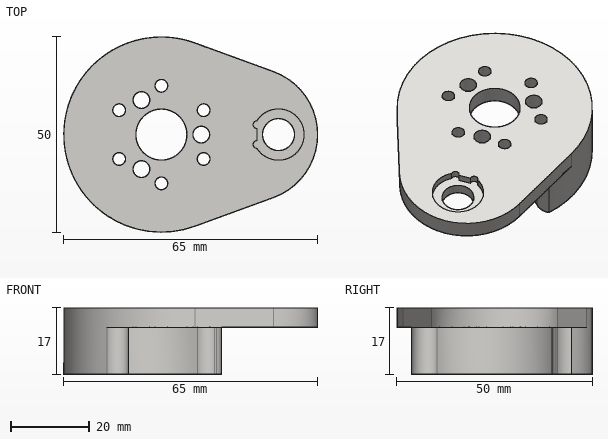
import cadquery as cq
import math

length = 65.0
width = 50.0
height = 17.0
plate_thickness = 5.0

main_radius = width / 2
nose_radius = 17.15
nose_x = length - main_radius - nose_radius

wall_thickness = 7.15
wall_inner_radius = main_radius - wall_thickness
wall_end_radius = wall_thickness / 2
wall_middle_radius = main_radius - wall_end_radius
round_end_angle = 236.0
blunt_end_angle = 58.6
blunt_face_angle = 44.1
blunt_flat_length = 0.6
blunt_edge_angle = 52.0

bore_diameter = 13.0
screw_diameter = 3.2
screw_circle_radius = 12.5
screw_count = 6
screw_start_angle = 30
pin_diameter = 4.2
pin_circle_radius = 10.2
pin_count = 3

pivot_x = 29.95
pivot_diameter = 8.1
recess_diameter = 13.1
recess_depth = 2.0
recess_flat_offset = 5.5
notch_radius = 1.0
notch_offset = 2.55


def polar(radius, angle, center=(0, 0)):
    """Point at the given radius and angle in degrees around a centre."""
    turn = math.radians(angle)
    return (center[0] + radius * math.cos(turn), center[1] + radius * math.sin(turn))


def make_plate():
    tangent_angle = math.degrees(math.acos((main_radius - nose_radius) / nose_x))
    nose = (nose_x, 0)
    return (
        cq.Workplane("XY")
        .workplane(offset=height - plate_thickness)
        .moveTo(*polar(main_radius, tangent_angle))
        .threePointArc((-main_radius, 0), polar(main_radius, -tangent_angle))
        .lineTo(*polar(nose_radius, -tangent_angle, nose))
        .threePointArc((nose_x + nose_radius, 0), polar(nose_radius, tangent_angle, nose))
        .close()
        .extrude(plate_thickness)
    )


def make_wall():
    middle_angle = (round_end_angle + blunt_end_angle) / 2
    round_center = polar(wall_middle_radius, round_end_angle)
    blunt_center = polar(wall_middle_radius, blunt_end_angle)
    flat_start = polar(wall_end_radius, blunt_face_angle - 90, blunt_center)
    flat_end = polar(blunt_flat_length, blunt_face_angle, flat_start)
    corner_middle_angle = (blunt_end_angle - 180 + blunt_face_angle - 90) / 2
    return (
        cq.Workplane("XY")
        .moveTo(*polar(main_radius, blunt_edge_angle))
        .threePointArc(polar(main_radius, middle_angle), polar(main_radius, round_end_angle))
        .threePointArc(
            polar(wall_end_radius, round_end_angle + 90, round_center),
            polar(wall_inner_radius, round_end_angle),
        )
        .threePointArc(
            polar(wall_inner_radius, middle_angle),
            polar(wall_inner_radius, blunt_end_angle),
        )
        .threePointArc(polar(wall_end_radius, corner_middle_angle, blunt_center), flat_start)
        .lineTo(*flat_end)
        .tangentArcPoint(polar(main_radius, blunt_edge_angle), relative=False)
        .close()
        .extrude(height - plate_thickness)
    )


def make_main_holes():
    return (
        cq.Workplane("XY")
        .circle(bore_diameter / 2)
        .extrude(height)
        .union(
            cq.Workplane("XY")
            .polarArray(screw_circle_radius, screw_start_angle, 360, screw_count)
            .circle(screw_diameter / 2)
            .extrude(height)
        )
        .union(
            cq.Workplane("XY")
            .polarArray(pin_circle_radius, 0, 360, pin_count)
            .circle(pin_diameter / 2)
            .extrude(height)
        )
    )


def make_pivot_cut():
    flat_x = pivot_x - recess_flat_offset
    recess_plane = cq.Workplane("XY").workplane(offset=height - recess_depth)
    recess = recess_plane.center(pivot_x, 0).circle(recess_diameter / 2).extrude(recess_depth)
    keep = (
        recess_plane.center(flat_x, 0)
        .rect(recess_diameter, recess_diameter)
        .extrude(recess_depth)
        .translate((recess_diameter / 2, 0, 0))
    )
    notches = (
        recess_plane.pushPoints([(flat_x, notch_offset), (flat_x, -notch_offset)])
        .circle(notch_radius)
        .extrude(recess_depth)
    )
    pivot_hole = cq.Workplane("XY").center(pivot_x, 0).circle(pivot_diameter / 2).extrude(height)
    return recess.intersect(keep).union(notches).union(pivot_hole)


result = make_plate().union(make_wall()).cut(make_main_holes()).cut(make_pivot_cut())